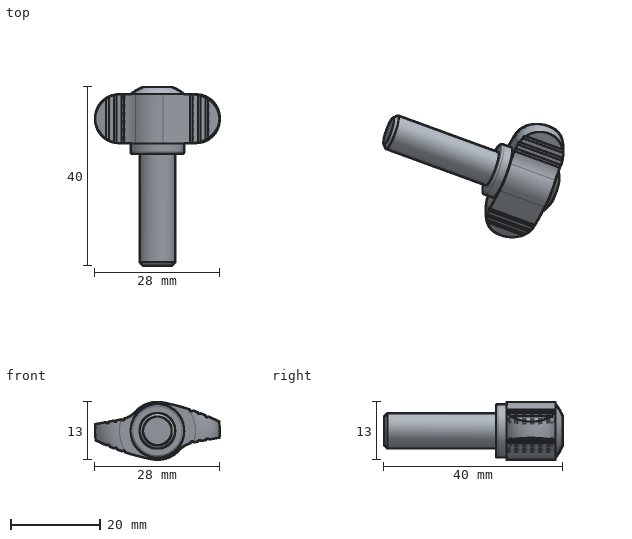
import cadquery as cq
import math

total_length = 40.0
wing_span = 28.0
wing_depth = 11.0
wing_back_y = wing_depth / 2
wing_front_y = -wing_depth / 2

hub_diameter = 13.0
hub_radius = hub_diameter / 2
hub_join_left_x = -4.9
hub_join_right_x = 1.3
outline_half_width = wing_span / 2 + 0.4
crown_mid = (7.3, 4.8)
crown_end_z = 1.8
flank_end_z = 1.45
flank_start = (-8.1, 2.6)

groove_radius = 0.3
groove_centers = [(-11.2, 2.05), (-9.45, 2.4), (-7.75, 2.7), (7.55, 4.7), (9.35, 4.1), (11.1, 3.4)]

collar_diameter = 12.0
collar_length = 2.4
collar_fillet = 0.5
dome_height = 1.6
dome_flat_radius = 3.3
shaft_diameter = 8.0
shaft_chamfer = 0.8
shaft_length = total_length - dome_height - wing_depth - collar_length


def hub_point(x):
    """Point on the upper half of the hub circle."""
    return (x, math.sqrt(hub_radius**2 - x**2))


def opposite(point):
    """Point half a turn round the screw axis."""
    return (-point[0], -point[1])


def wing_section_plane(y):
    """XZ sketch plane at the given height along Y, with its normal along -Y."""
    return cq.Workplane("XZ", origin=(0, y, 0))


def add_outline_half(sketch, turn):
    """Trace hub, crown and right tip, then the flank back to the hub on the other side."""
    sketch = sketch.threePointArc(turn((0.0, hub_radius)), turn(hub_point(hub_join_right_x)))
    sketch = sketch.threePointArc(turn(crown_mid), turn((outline_half_width, crown_end_z)))
    sketch = sketch.lineTo(*turn((outline_half_width, -flank_end_z)))
    sketch = sketch.lineTo(*turn(opposite(flank_start)))
    return sketch.tangentArcPoint(turn(opposite(hub_point(hub_join_left_x))), relative=False)


def make_wing():
    sketch = wing_section_plane(wing_back_y).moveTo(*hub_point(hub_join_left_x))
    sketch = add_outline_half(sketch, lambda point: point)
    sketch = add_outline_half(sketch, opposite)
    return sketch.close().extrude(wing_depth)


def make_tip_envelope():
    """Disc about the screw axis with a half-round rim, which rounds the wing tips."""
    rim_start = wing_span / 2 - wing_depth / 2
    return (
        cq.Workplane("XY")
        .moveTo(0, wing_front_y)
        .lineTo(rim_start, wing_front_y)
        .threePointArc((wing_span / 2, 0), (rim_start, wing_back_y))
        .lineTo(0, wing_back_y)
        .close()
        .revolve(360, (0, 0, 0), (0, 1, 0))
    )


def make_grooves():
    centers = groove_centers + [opposite(center) for center in groove_centers]
    return wing_section_plane(wing_back_y).pushPoints(centers).circle(groove_radius).extrude(wing_depth)


def make_dome():
    """Spherical cap with a flat top; the sphere passes through the rim and the flat's edge."""
    rim_radius = collar_diameter / 2
    rim_height = (rim_radius**2 - dome_flat_radius**2 - dome_height**2) / (2 * dome_height)
    sphere_radius = math.hypot(rim_radius, rim_height)
    mid_radius = (rim_radius + dome_flat_radius) / 2
    mid_y = wing_back_y + math.sqrt(sphere_radius**2 - mid_radius**2) - rim_height
    top_y = wing_back_y + dome_height
    return (
        cq.Workplane("XY")
        .moveTo(0, wing_back_y)
        .lineTo(rim_radius, wing_back_y)
        .threePointArc((mid_radius, mid_y), (dome_flat_radius, top_y))
        .lineTo(0, top_y)
        .close()
        .revolve(360, (0, 0, 0), (0, 1, 0))
    )


def make_collar():
    collar = wing_section_plane(wing_front_y).circle(collar_diameter / 2).extrude(collar_length)
    return collar.faces("<Y").edges().fillet(collar_fillet)


def make_shaft():
    shaft_start_y = wing_front_y - collar_length
    shaft = wing_section_plane(shaft_start_y).circle(shaft_diameter / 2).extrude(shaft_length)
    return shaft.faces("<Y").edges().chamfer(shaft_chamfer)


wing = make_wing().intersect(make_tip_envelope()).cut(make_grooves())
result = wing.union(make_dome()).union(make_collar()).union(make_shaft())